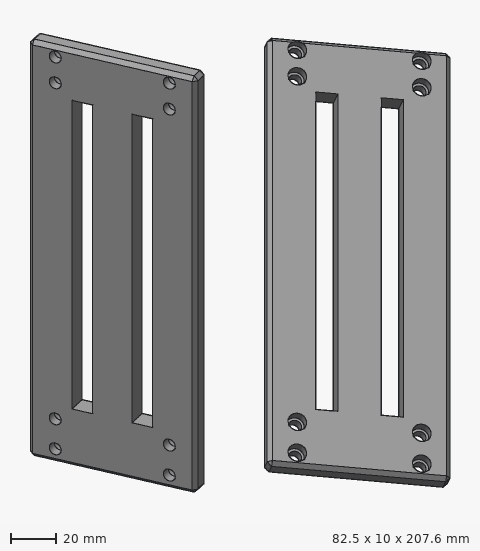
import cadquery as cq

width = 82.5
thickness = 10.0
height = 207.6
edge_chamfer = 2.0

hole_diameter = 5.8
counterbore_diameter = 8.3
counterbore_depth = thickness / 2
hole_offset_x = 28.0
hole_heights = (98.5, 85.5, -82.0, -97.0)

slot_width = 10.0
slot_offset_x = 14.7
slot_top = 78.7
slot_bottom = -75.2
slot_length = slot_top - slot_bottom
slot_center_z = (slot_top + slot_bottom) / 2


def mirrored_points(offset_x, heights):
    """Return symmetric left and right positions at each height."""
    return [(side * offset_x, z) for z in heights for side in (-1, 1)]


def make_plate():
    return cq.Workplane("XY").box(width, thickness, height).edges().chamfer(edge_chamfer)


def cut_slots(plate):
    slots = (
        cq.Workplane("XZ")
        .pushPoints(mirrored_points(slot_offset_x, [slot_center_z]))
        .rect(slot_width, slot_length)
        .extrude(thickness / 2, both=True)
    )
    return plate.cut(slots)


def cut_screw_holes(plate):
    return (
        plate.faces(">Y")
        .workplane(origin=(0, thickness / 2, 0))
        .pushPoints(mirrored_points(hole_offset_x, hole_heights))
        .cboreHole(hole_diameter, counterbore_diameter, counterbore_depth)
    )


result = cut_screw_holes(cut_slots(make_plate()))